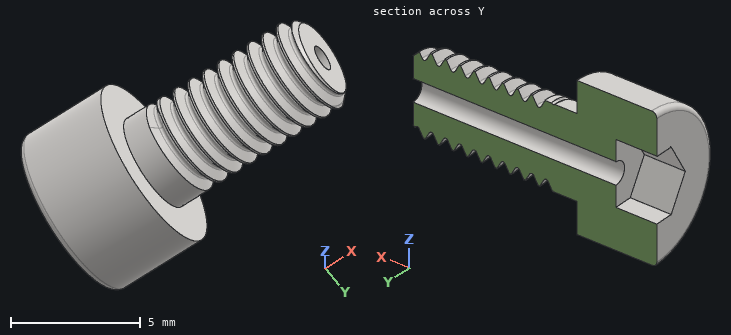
import cadquery as cq
import math


head_diameter = 7.0
head_height = 3.91
head_fillet = 0.25
socket_sides = 6
socket_across_flats = 3.05
socket_depth = 2.0
bore_diameter = 1.05

shank_radius = 2.0
shank_length = 8.0
pitch = 0.7
plain_length = 1.08
thread_start_angle = -154.5
flank_angle = math.radians(30)
crest_width = pitch / 8
groove_half_width = (pitch - crest_width) / 2
sharp_depth = groove_half_width / math.tan(flank_angle)
root_rounding = pitch * math.sqrt(3) / 12
thread_depth = sharp_depth - root_rounding * (1 / math.sin(flank_angle) - 1)
thread_start = plain_length + groove_half_width
tip_chamfer = thread_depth

runout_length = thread_depth * math.tan(flank_angle)
runout_sections = 9

cutter_clearance = 0.05

rod_excess = 2 * pitch


def groove_profile(center_x, lift, angle):
    """Closed groove outline in the half plane at the given angle about X, moved outward by lift."""
    outer_radius = shank_radius + cutter_clearance + lift
    outer_half_width = groove_half_width + cutter_clearance * math.tan(flank_angle)
    root_radius = shank_radius - thread_depth + lift
    tangent_radius = root_radius + root_rounding * (1 - math.sin(flank_angle))
    tangent_half_width = root_rounding * math.cos(flank_angle)
    plane = cq.Plane(origin=(0, 0, 0), xDir=(1, 0, 0), normal=(0, 0, 1)).rotated((angle, 0, 0))
    return (
        cq.Workplane(plane)
        .moveTo(center_x - outer_half_width, outer_radius)
        .lineTo(center_x - tangent_half_width, tangent_radius)
        .threePointArc((center_x, root_radius), (center_x + tangent_half_width, tangent_radius))
        .lineTo(center_x + outer_half_width, outer_radius)
        .close()
    )


def make_thread_groove():
    """Full-depth right-hand helical groove, from its start out past the tip."""
    helix_length = shank_length + rod_excess / 2 - thread_start
    helix = cq.Wire.makeHelix(pitch, helix_length, shank_radius)
    helix = helix.rotate(cq.Vector(0, 0, 0), cq.Vector(0, 1, 0), 90)
    helix = helix.translate(cq.Vector(thread_start, 0, 0))
    helix_start_angle = -90
    profile = groove_profile(thread_start, 0, helix_start_angle)
    groove = profile.sweep(cq.Workplane(helix), isFrenet=True)
    return groove.rotate((0, 0, 0), (1, 0, 0), thread_start_angle - helix_start_angle)


def make_runout():
    """Stretch of groove between the shank surface and the start of the full-depth thread."""
    wires = []
    for i in range(runout_sections):
        fraction = i / (runout_sections - 1)
        setback = runout_length * fraction
        angle = thread_start_angle - 360 * setback / pitch
        profile = groove_profile(thread_start - setback, thread_depth * fraction, angle)
        wires.append(profile.val())
    return cq.Workplane(cq.Solid.makeLoft(wires))


def make_head():
    head = cq.Workplane("YZ").circle(head_diameter / 2).extrude(-head_height)
    return head.faces("<X").edges().fillet(head_fillet)


def make_threaded_shank():
    """Thread cut in an overlong rod, then trimmed to a shank with a chamfered tip."""
    rod = cq.Workplane("YZ").circle(shank_radius).extrude(shank_length + rod_excess)
    threaded_rod = rod.cut(make_thread_groove()).cut(make_runout())
    envelope = cq.Workplane("YZ").circle(shank_radius).extrude(shank_length)
    envelope = envelope.faces(">X").edges().chamfer(tip_chamfer)
    return threaded_rod.intersect(envelope)


def make_socket():
    """Hexagonal wrench socket in the head, with corners on the Y axis."""
    across_corners = socket_across_flats / math.cos(math.pi / socket_sides)
    face_plane = cq.Workplane("YZ", origin=(-head_height, 0, 0))
    return face_plane.polygon(socket_sides, across_corners).extrude(socket_depth)


def make_bore():
    """Round hole along the whole axis of the screw."""
    face_plane = cq.Workplane("YZ", origin=(-head_height, 0, 0))
    return face_plane.circle(bore_diameter / 2).extrude(head_height + shank_length)


result = make_head().union(make_threaded_shank())
result = result.cut(make_socket()).cut(make_bore())